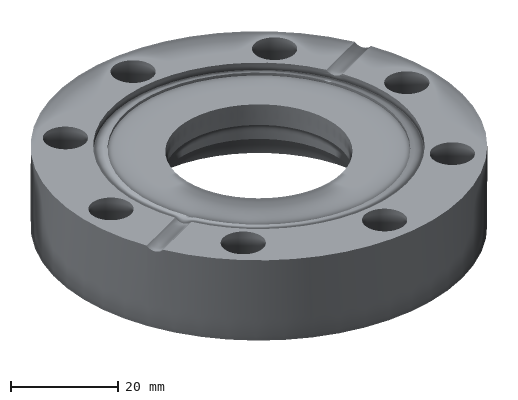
import cadquery as cq

flange_diameter = 85.2
flange_height = 17.3

recess_diameter = 61.9
knife_slope_diameter = 61.6
recess_depth = 1.5
knife_diameter = 56.5
knife_depth = 0.6
inner_face_depth = 1.2

bore_diameter = 34.9
bore_end_depth = inner_face_depth + 4.4
middle_bore_diameter = 38.35
middle_bore_end_depth = inner_face_depth + 8.4
lower_bore_diameter = 54.4

bolt_count = 8
bolt_circle_diameter = 72.4
bolt_hole_diameter = 8.4
first_bolt_angle = 360 / bolt_count / 2

groove_width = 3.4
groove_depth = 0.8


def revolved_flange():
    """Revolve the half section, given as (radius, height) points, about Z."""
    section = [
        (bore_diameter / 2, flange_height - inner_face_depth),
        (knife_diameter / 2, flange_height - inner_face_depth),
        (knife_diameter / 2, flange_height - knife_depth),
        (knife_slope_diameter / 2, flange_height - recess_depth),
        (recess_diameter / 2, flange_height - recess_depth),
        (recess_diameter / 2, flange_height),
        (flange_diameter / 2, flange_height),
        (flange_diameter / 2, 0),
        (lower_bore_diameter / 2, 0),
        (lower_bore_diameter / 2, flange_height - middle_bore_end_depth),
        (middle_bore_diameter / 2, flange_height - middle_bore_end_depth),
        (middle_bore_diameter / 2, flange_height - bore_end_depth),
        (bore_diameter / 2, flange_height - bore_end_depth),
    ]
    return cq.Workplane("XZ").polyline(section).close().revolve(360, (0, 0, 0), (0, 1, 0))


def bolt_holes():
    """Through holes spaced evenly around the bolt circle."""
    return (
        cq.Workplane("XY")
        .polarArray(bolt_circle_diameter / 2, first_bolt_angle, 360, bolt_count)
        .circle(bolt_hole_diameter / 2)
        .extrude(flange_height)
    )


def leak_check_groove():
    """Round-bottomed groove along Y, crossing the rim on both sides of the recess."""
    return (
        cq.Workplane("XZ")
        .moveTo(-groove_width / 2, flange_height)
        .threePointArc((0, flange_height - groove_depth), (groove_width / 2, flange_height))
        .close()
        .extrude(flange_diameter / 2, both=True)
    )


result = revolved_flange().cut(bolt_holes()).cut(leak_check_groove())